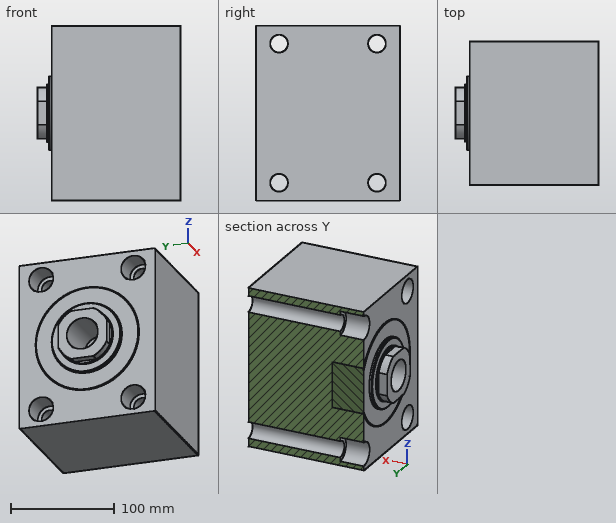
import cadquery as cq
import math


block_length = 125.1
block_width = 140.0
block_height = 170.0
block_edge_chamfer = 0.7

hole_spacing_y = 95.0
hole_spacing_z = 135.0
hole_diameter = 17.0
counterbore_diameter = 25.0
counterbore_depth = 25.5

gland_diameter = 106.8
gland_depth = 34.0
gland_chamfer = 0.8
collar_diameter = 72.0
collar_height = 3.0
collar_chamfer = 1.0

rod_protrusion = 14.0
rod_diameter = 56.0
rod_chamfer = 0.5
rod_depth = 68.0
tip_length = 9.0
tip_diameter = rod_diameter - 2 * rod_chamfer
tip_across_flats = 50.0

bore_diameter = 32.1
bore_depth = 51.0
drill_point_angle = 118.0


def disc(start_x, end_x, diameter):
    """Solid cylinder on the X axis between two X positions."""
    return cq.Workplane("YZ", origin=(start_x, 0, 0)).circle(diameter / 2).extrude(end_x - start_x)


def make_housing():
    block = cq.Workplane("YZ").rect(block_width, block_height).extrude(block_length)
    block = block.edges("|X").chamfer(block_edge_chamfer)
    block = (
        block.faces("<X").workplane(origin=(0, 0, 0))
        .rect(hole_spacing_y, hole_spacing_z, forConstruction=True).vertices()
        .cboreHole(hole_diameter, counterbore_diameter, counterbore_depth)
    )
    gland_seat = disc(0, gland_depth, gland_diameter)
    rod_seat = disc(0, rod_depth, rod_diameter)
    return block.cut(gland_seat).cut(rod_seat)


def make_gland():
    plug = disc(0, gland_depth, gland_diameter).faces("<X").chamfer(gland_chamfer)
    collar = disc(-collar_height, 0, collar_diameter).faces("<X").chamfer(collar_chamfer)
    rod_passage = disc(-collar_height, gland_depth, rod_diameter)
    return plug.union(collar).cut(rod_passage)


def make_rod():
    tip_end = -rod_protrusion
    shoulder = tip_end + tip_length
    shaft = disc(shoulder, rod_depth, rod_diameter).faces("<X").chamfer(rod_chamfer)
    square = (
        cq.Workplane("YZ", origin=(tip_end, 0, 0))
        .rect(tip_across_flats, tip_across_flats).extrude(tip_length)
    )
    tip = disc(tip_end, shoulder, tip_diameter).intersect(square)
    return shaft.union(tip).cut(make_rod_bore(tip_end))


def make_rod_bore(tip_end):
    """Cylinder and drill-point cone that the bore removes, as one revolved shape."""
    radius = bore_diameter / 2
    shoulder = tip_end + bore_depth
    point = shoulder + radius / math.tan(math.radians(drill_point_angle / 2))
    return (
        cq.Workplane("XY")
        .polyline([(tip_end, 0), (tip_end, radius), (shoulder, radius), (point, 0)]).close()
        .revolve(360, (0, 0, 0), (1, 0, 0))
    )


housing = make_housing()
gland = make_gland()
rod = make_rod()

result = cq.Compound.makeCompound([housing.val(), gland.val(), rod.val()])